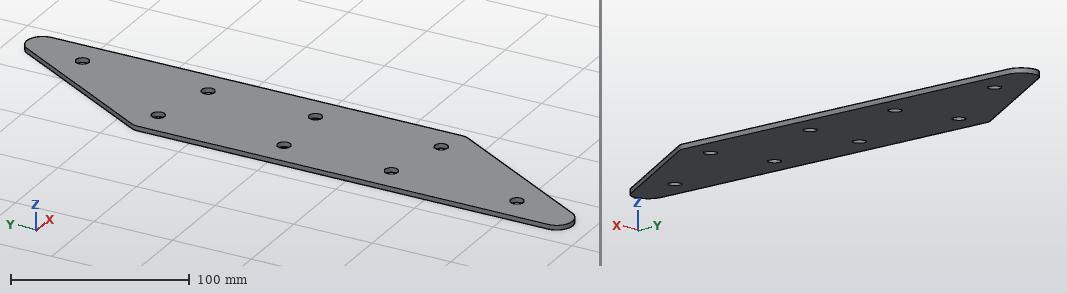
import cadquery as cq
import math

width = 76.0
length = 377.2
thickness = 3.0
corner_radius = 10.0
end_slope = math.radians(60)

hole_diameter = 8.0
row_offset = 20.0
outer_pitch = 80.0
middle_pitch = 68.3
last_hole_y = 149.0

tip_angle = math.pi / 2 - end_slope
tip_y = length / 2 - corner_radius + corner_radius / math.tan(tip_angle / 2)
shoulder_y = tip_y - width * math.tan(end_slope)
half_width = width / 2

corners = [
    (half_width, tip_y),
    (-half_width, shoulder_y),
    (-half_width, -tip_y),
    (half_width, -shoulder_y),
]
plate = (
    cq.Workplane("XY")
    .polyline(corners)
    .close()
    .extrude(thickness)
    .edges("|Z")
    .fillet(corner_radius)
)

hole_steps = [
    0,
    outer_pitch,
    outer_pitch + middle_pitch,
    2 * outer_pitch + middle_pitch,
]
right_row = [(row_offset, last_hole_y - step) for step in hole_steps]
left_row = [(-x, -y) for x, y in right_row]

holes = (
    cq.Workplane("XY")
    .pushPoints(right_row + left_row)
    .circle(hole_diameter / 2)
    .extrude(thickness)
)

result = plate.cut(holes)